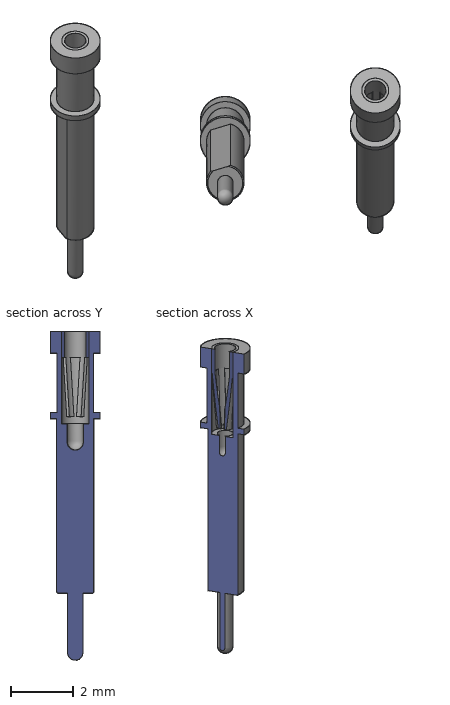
import cadquery as cq
import math

TOTAL_HEIGHT = 10.55
HEAD_HEIGHT = 0.71
FLANGE_TOP_DEPTH = 2.6
FLANGE_THICKNESS = 0.21
BARREL_BOTTOM_Z = 2.15
FLANGE_TOP_Z = TOTAL_HEIGHT - FLANGE_TOP_DEPTH

HEAD_RADIUS = 1.6 / 2
BARREL_RADIUS = 1.2 / 2
TAIL_RADIUS = 0.51 / 2
BARREL_CHAMFER = 0.04
FLAT_WIDTH = 0.66
FLAT_DISTANCE = math.sqrt(BARREL_RADIUS**2 - (FLAT_WIDTH / 2) ** 2)

BORE_RADIUS = 0.87 / 2
BORE_DEPTH = 2.95
PILOT_RADIUS = 0.51 / 2
PILOT_DEPTH = 3.8

CLIP_INNER_RADIUS = 0.68 / 2
CLIP_LENGTH = 2.74
COLLAR_LENGTH = 0.84
FINGER_LENGTH = CLIP_LENGTH - COLLAR_LENGTH
FINGER_COUNT = 4
FINGER_ANGLE = 36.0
FINGER_TIP_INSET = 0.16
FINGER_TILT = math.degrees(math.asin(FINGER_TIP_INSET / FINGER_LENGTH))


def make_socket_outside():
    """Turned outline: head, barrel, flange and round-ended tail pin."""
    outline = (
        cq.Workplane("XZ")
        .moveTo(0, 0)
        .radiusArc((TAIL_RADIUS, TAIL_RADIUS), -TAIL_RADIUS)
        .lineTo(TAIL_RADIUS, BARREL_BOTTOM_Z)
        .lineTo(BARREL_RADIUS - BARREL_CHAMFER, BARREL_BOTTOM_Z)
        .lineTo(BARREL_RADIUS, BARREL_BOTTOM_Z + BARREL_CHAMFER)
        .lineTo(BARREL_RADIUS, FLANGE_TOP_Z - FLANGE_THICKNESS)
        .lineTo(HEAD_RADIUS, FLANGE_TOP_Z - FLANGE_THICKNESS)
        .lineTo(HEAD_RADIUS, FLANGE_TOP_Z)
        .lineTo(BARREL_RADIUS, FLANGE_TOP_Z)
        .lineTo(BARREL_RADIUS, TOTAL_HEIGHT - HEAD_HEIGHT)
        .lineTo(HEAD_RADIUS, TOTAL_HEIGHT - HEAD_HEIGHT)
        .lineTo(HEAD_RADIUS, TOTAL_HEIGHT)
        .lineTo(0, TOTAL_HEIGHT)
        .close()
    )
    return outline.revolve(360, (0, 0, 0), (0, 1, 0))


def make_flat_cutter():
    """Block that leaves the flat on the -Y side of the barrel, from its lower end to the flange."""
    flat_height = FLANGE_TOP_Z - FLANGE_THICKNESS - BARREL_BOTTOM_Z
    return (
        cq.Workplane("XY")
        .box(2 * BARREL_RADIUS, BARREL_RADIUS, flat_height, centered=(True, False, False))
        .translate((0, -FLAT_DISTANCE - BARREL_RADIUS, BARREL_BOTTOM_Z))
    )


def make_bore():
    """Clip bore, narrower pilot hole below it and the rounded end."""
    ledge_z = TOTAL_HEIGHT - BORE_DEPTH
    pilot_end_z = TOTAL_HEIGHT - PILOT_DEPTH
    outline = (
        cq.Workplane("XZ")
        .moveTo(0, TOTAL_HEIGHT)
        .lineTo(BORE_RADIUS, TOTAL_HEIGHT)
        .lineTo(BORE_RADIUS, ledge_z)
        .lineTo(PILOT_RADIUS, ledge_z)
        .lineTo(PILOT_RADIUS, pilot_end_z + PILOT_RADIUS)
        .radiusArc((0, pilot_end_z), PILOT_RADIUS)
        .close()
    )
    return outline.revolve(360, (0, 0, 0), (0, 1, 0))


def make_socket():
    return make_socket_outside().cut(make_flat_cutter()).cut(make_bore())


def make_tube(bottom_z, length):
    """Length of the straight tube from which the clip is formed."""
    return (
        cq.Workplane("XY", origin=(0, 0, bottom_z))
        .circle(BORE_RADIUS)
        .circle(CLIP_INNER_RADIUS)
        .extrude(length)
    )


def make_finger():
    """Sector of the tube on its +X side, bent inward about its outer upper edge."""
    tip_z = TOTAL_HEIGHT - CLIP_LENGTH
    reach = 2 * BORE_RADIUS
    half_width = reach * math.tan(math.radians(FINGER_ANGLE / 2))
    sector = (
        cq.Workplane("XY", origin=(0, 0, tip_z))
        .polyline([(0, 0), (reach, -half_width), (reach, half_width)])
        .close()
        .extrude(FINGER_LENGTH)
    )
    straight_finger = make_tube(tip_z, FINGER_LENGTH).intersect(sector)
    hinge = cq.Vector(BORE_RADIUS, 0, tip_z + FINGER_LENGTH)
    return straight_finger.rotate(hinge, hinge + cq.Vector(0, 0.11, 0), FINGER_TILT)


def make_clip():
    """Collar with inward-leaning contact fingers below it."""
    clip = make_tube(TOTAL_HEIGHT - COLLAR_LENGTH, COLLAR_LENGTH)
    finger = make_finger()
    for index in range(FINGER_COUNT):
        clip = clip.union(finger.rotate((0, 0, 0), (0, 0, 1), (index + 0.5) * 360 / FINGER_COUNT))
    return clip


socket = make_socket()
clip = make_clip()
result = cq.Compound.makeCompound([socket.val(), clip.solids().val()])